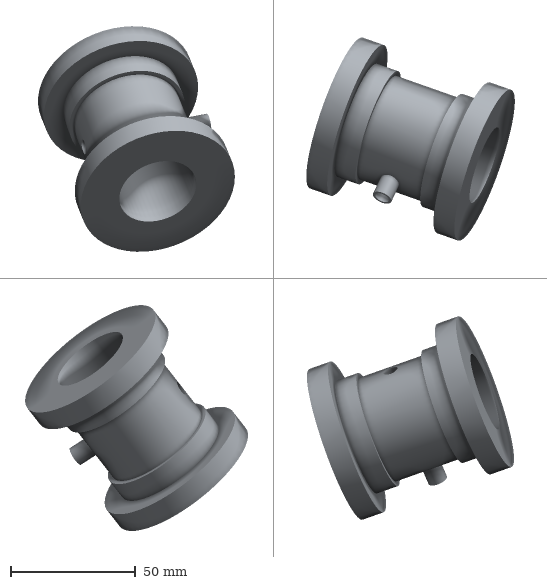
import cadquery as cq

length = 64.0
flange_diameter = 64.0
flange_width = 9.0
collar_diameter = 48.0
collar_width = 9.0
barrel_diameter = 44.0
bore_diameter = 32.0

pipe_diameter = 8.0
pipe_reach = 30.0
cross_hole_diameter = 6.0
cross_axis_height = 1.0


def centered_cylinder(diameter, width):
    """Cylinder along X, centered on the origin."""
    return cq.Workplane("YZ").circle(diameter / 2).extrude(width).translate((-width / 2, 0, 0))


def end_ring(diameter, width, outer_face, side):
    """Disc along X whose outer face lies at the given distance on one side (+1 or -1)."""
    center = side * (outer_face - width / 2)
    return centered_cylinder(diameter, width).translate((center, 0, 0))


def cross_profile(diameter):
    """Circle about the cross axis, drawn on the XZ plane."""
    return cq.Workplane("XZ").center(0, cross_axis_height).circle(diameter / 2)


body = centered_cylinder(barrel_diameter, length)
for side in (-1, 1):
    body = body.union(end_ring(flange_diameter, flange_width, length / 2, side))
    body = body.union(end_ring(collar_diameter, collar_width, length / 2 - flange_width, side))

body = body.union(cross_profile(pipe_diameter).extrude(-pipe_reach))

body = body.cut(centered_cylinder(bore_diameter, length))

cross_hole = cross_profile(cross_hole_diameter).extrude(flange_diameter / 2, both=True)
result = body.cut(cross_hole).clean()